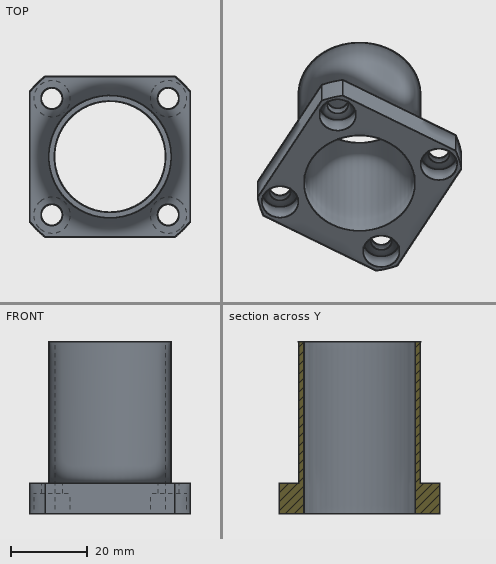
import cadquery as cq

total_height = 45.0
flange_width = 42.0
flange_thickness = 8.0
flange_corner_diameter = 54.0

tube_outer_diameter = 32.0
bore_diameter = 29.0

hole_count = 4
first_hole_angle = 45
hole_diameter = 5.5
hole_circle_diameter = 43.0
counterbore_diameter = 9.5
hole_land_thickness = 2.6
counterbore_depth = flange_thickness - hole_land_thickness


def make_flange():
    """Square plate whose corners are rounded by a concentric cylinder."""
    plate = cq.Workplane("XY").rect(flange_width, flange_width).extrude(flange_thickness)
    corner_cylinder = cq.Workplane("XY").circle(flange_corner_diameter / 2).extrude(flange_thickness)
    return plate.intersect(corner_cylinder)


def make_corner_cylinders(diameter, height):
    """One cylinder on each flange diagonal, standing on the underside."""
    return (
        cq.Workplane("XY")
        .polarArray(hole_circle_diameter / 2, first_hole_angle, 360, hole_count)
        .circle(diameter / 2)
        .extrude(height)
    )


tube = cq.Workplane("XY").circle(tube_outer_diameter / 2).extrude(total_height)
bore = cq.Workplane("XY").circle(bore_diameter / 2).extrude(total_height)

result = (
    make_flange()
    .union(tube)
    .cut(bore)
    .cut(make_corner_cylinders(hole_diameter, flange_thickness))
    .cut(make_corner_cylinders(counterbore_diameter, counterbore_depth))
)